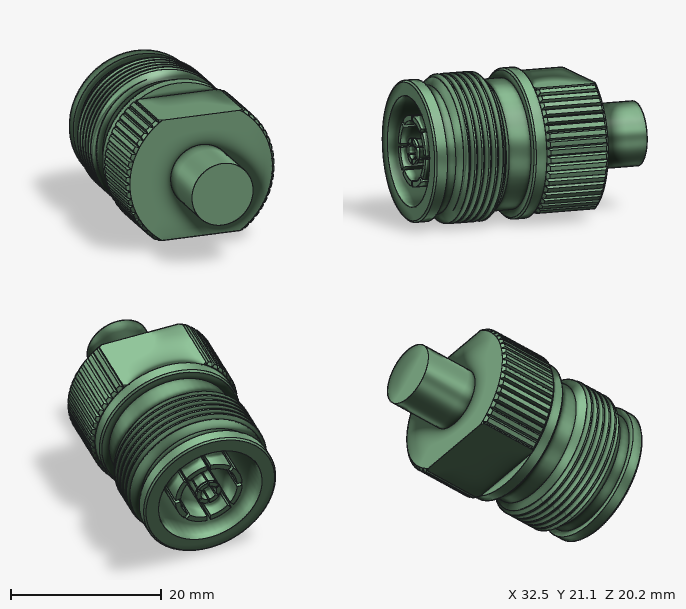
import cadquery as cq
import math


total_length = 32.5
front_rim_end = 1.73
thread_start = 3.27
flange_start = 14.0
flange_end = 15.75
knurl_end = 24.55

front_rim_radius = 9.5
front_neck_radius = 8.65
rear_neck_radius = 8.8
flange_radius = 10.09
cable_tube_radius = 4.35
rim_chamfer = 0.25

thread_radius = 10.0
thread_end = 10.87
thread_pitch = 1.0
thread_depth = 0.65
thread_flank_angle = 30.0
groove_start = 3.86
groove_turns = 7
cutter_overlap = 0.05

knurl_radius = 10.535
knurl_chamfer = 0.4
knurl_count = 60
knurl_depth = 0.4
knurl_flank_angle = 30.0
flat_distance = 8.5

socket_radius = 7.44
socket_depth = 12.0
collet_tip = 0.5
collet_radius = 4.8
collet_bore_radius = 4.07
collet_bore_depth = 12.0
collet_slot_width = 0.5
collet_slot_end = 9.0
collet_slot_count = 8
recess_radius = 3.3
recess_depth = 13.5

pin_tip = 0.5
pin_end = 18.0
pin_tip_radius = 1.75
pin_tip_length = 0.45
pin_radius = 1.63
pin_bore_radius = 1.13
pin_bore_depth = 4.0
drill_point_angle = 59.0
pin_slot_width = 0.22
pin_slot_depth = 3.5
pin_slot_count = 6


def cylinder(start, end, radius):
    """Solid cylinder on the X axis from start to end."""
    return cq.Workplane("YZ", origin=(start, 0, 0)).circle(radius).extrude(end - start)


def radial_slots(start, end, width, reach, count):
    """Ring of narrow radial blades, one pointing to +Z, that cut slots in a tube."""
    blade = cq.Workplane("XY").box(end - start, width, reach, centered=(False, True, False))
    blade = blade.translate((start, 0, 0))
    blades = cq.Workplane("XY")
    for index in range(count):
        blades = blades.add(blade.rotate((0, 0, 0), (1, 0, 0), index * 360 / count))
    return blades.combine()


def threaded_sleeve():
    """Cylinder with 45 degree ends and a helical V groove, cut one turn at a time."""
    front_rise = thread_radius - front_neck_radius
    rear_rise = thread_radius - rear_neck_radius
    sleeve = (
        cq.Workplane("XY")
        .moveTo(thread_start, 0)
        .lineTo(thread_start, front_neck_radius)
        .lineTo(thread_start + front_rise, thread_radius)
        .lineTo(thread_end - rear_rise, thread_radius)
        .lineTo(thread_end, rear_neck_radius)
        .lineTo(thread_end, 0)
        .close()
        .revolve(360, (0, 0, 0), (1, 0, 0))
    )
    root_radius = thread_radius - thread_depth
    cutter_radius = thread_radius + cutter_overlap
    half_width = (cutter_radius - root_radius) * math.tan(math.radians(thread_flank_angle))
    helix = cq.Wire.makeHelix(thread_pitch, thread_pitch, root_radius, lefthand=True)
    groove_turn = (
        cq.Workplane("XZ")
        .moveTo(root_radius, 0)
        .lineTo(cutter_radius, half_width)
        .lineTo(cutter_radius, -half_width)
        .close()
        .sweep(cq.Workplane(helix), isFrenet=True)
        .rotate((0, 0, 0), (0, 1, 0), 90)
        .translate((groove_start, 0, 0))
    )
    for turn in range(groove_turns):
        sleeve = sleeve.cut(groove_turn.translate((turn * thread_pitch, 0, 0)))
    return sleeve


def knurled_grip():
    """Chamfered cylinder with straight V grooves and flats on the +Z and -Z sides."""
    length = knurl_end - flange_end
    grip = cylinder(flange_end, knurl_end, knurl_radius).edges().chamfer(knurl_chamfer)
    root_radius = knurl_radius - knurl_depth
    cutter_radius = knurl_radius + cutter_overlap
    half_width = (cutter_radius - root_radius) * math.tan(math.radians(knurl_flank_angle))
    groove = (
        cq.Workplane("YZ", origin=(flange_end, 0, 0))
        .moveTo(root_radius, 0)
        .lineTo(cutter_radius, half_width)
        .lineTo(cutter_radius, -half_width)
        .close()
        .extrude(length)
        .val()
    )
    pitch_angle = 360 / knurl_count
    grooves = [groove.rotate((0, 0, 0), (1, 0, 0), index * pitch_angle) for index in range(knurl_count)]
    grip = grip.cut(cq.Workplane(cq.Compound.makeCompound(grooves)))
    flats = cq.Workplane("XY").box(length, 2 * cutter_radius, 2 * flat_distance)
    return grip.intersect(flats.translate((flange_end + length / 2, 0, 0)))


def slotted_collet():
    """Spring collet standing in the socket, divided into fingers at its front."""
    collet = cylinder(collet_tip, socket_depth, collet_radius)
    slots = radial_slots(collet_tip, collet_slot_end, collet_slot_width,
                         collet_radius + cutter_overlap, collet_slot_count)
    return collet.cut(slots)


def build_housing():
    """Outer shell with its thread, grip and cable tube, plus the collet and the contact's hole."""
    rim = cylinder(0, front_rim_end, front_rim_radius).faces("<X").chamfer(rim_chamfer)
    flange = cylinder(flange_start, flange_end, flange_radius).faces("<X").chamfer(rim_chamfer)
    shell = (
        rim
        .union(cylinder(front_rim_end, thread_start, front_neck_radius))
        .union(threaded_sleeve())
        .union(cylinder(thread_end, flange_start, rear_neck_radius))
        .union(flange)
        .union(knurled_grip())
        .union(cylinder(knurl_end, total_length, cable_tube_radius))
    )
    return (
        shell
        .cut(cylinder(0, socket_depth, socket_radius))
        .union(slotted_collet())
        .cut(cylinder(0, collet_bore_depth, collet_bore_radius))
        .cut(cylinder(collet_bore_depth, recess_depth, recess_radius))
        .cut(cylinder(recess_depth, pin_end, pin_radius))
    )


def build_center_contact():
    """Contact pin with a thicker tip, a drilled bore and spring slots."""
    tip_end = pin_tip + pin_tip_length
    bore_end = pin_tip + pin_bore_depth
    drill_apex = bore_end + pin_bore_radius / math.tan(math.radians(drill_point_angle))
    pin = (
        cq.Workplane("XY")
        .moveTo(pin_tip, pin_bore_radius)
        .lineTo(pin_tip, pin_tip_radius)
        .lineTo(tip_end, pin_tip_radius)
        .lineTo(tip_end, pin_radius)
        .lineTo(pin_end, pin_radius)
        .lineTo(pin_end, 0)
        .lineTo(drill_apex, 0)
        .lineTo(bore_end, pin_bore_radius)
        .close()
        .revolve(360, (0, 0, 0), (1, 0, 0))
    )
    slots = radial_slots(pin_tip, pin_tip + pin_slot_depth, pin_slot_width,
                         pin_tip_radius + cutter_overlap, pin_slot_count)
    return pin.cut(slots)


housing = build_housing()
center_contact = build_center_contact()

result = cq.Compound.makeCompound([housing.solids().val(), center_contact.solids().val()])